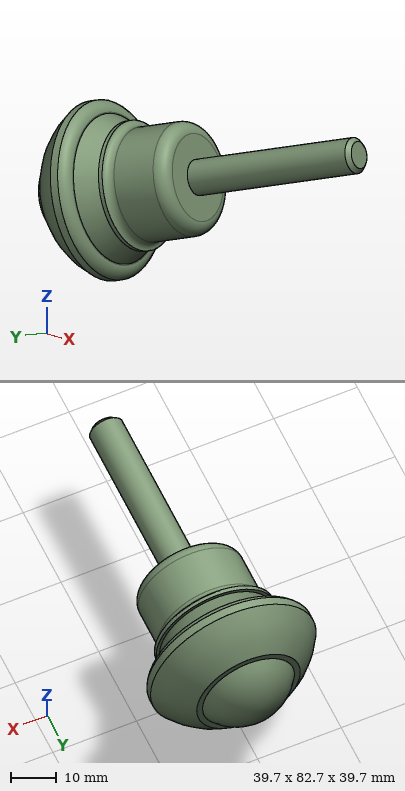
import cadquery as cq
import math


stud_radius = 4.0
stud_length = 43.0
stud_chamfer = 1.0

body_radius = 12.7
body_edge_fillet = 3.0
body_height = 13.45
collar_radius = 14.4
collar_bottom = 15.4
collar_top = 16.4

neck_bottom_radius = 13.6
neck_top_radius = 16.6
rim_underside = 21.5
rim_inner_radius = 16.85
rim_radius = 19.85
rim_band_bottom = 23.45
rim_band_top = 25.4

cap_top = 33.45
cap_top_radius = 12.4
dome_base_radius = 11.0
knob_height = 39.7


def axis_centre(lower_radius, lower_y, upper_radius, upper_y):
    """Y of the on-axis centre of the sphere through two circles of the profile."""
    power_difference = upper_radius**2 + upper_y**2 - lower_radius**2 - lower_y**2
    return power_difference / (2 * (upper_y - lower_y))


def sphere_point(centre_y, sphere_radius, radius):
    """Profile point at the given radius on the upper half of an on-axis sphere."""
    return radius, centre_y + math.sqrt(sphere_radius**2 - radius**2)


def make_stud():
    """Plain round stud with a chamfered tip."""
    return (
        cq.Workplane("XZ")
        .circle(stud_radius)
        .extrude(stud_length)
        .faces("<Y")
        .chamfer(stud_chamfer)
    )


def make_body():
    """Base cylinder, its concave sweep out to the collar, the collar and the neck."""
    return (
        cq.Workplane("XY")
        .lineTo(body_radius - body_edge_fillet, 0)
        .tangentArcPoint((body_radius, body_edge_fillet), relative=False)
        .lineTo(body_radius, body_height)
        .tangentArcPoint((collar_radius, collar_bottom), relative=False)
        .lineTo(collar_radius, collar_top)
        .lineTo(neck_bottom_radius, collar_top)
        .lineTo(neck_top_radius, rim_underside)
        .lineTo(0, rim_underside)
        .close()
        .revolve(360, (0, 0), (0, 1))
    )


def make_rim():
    """Lower part of the head: rounded underside and a straight band."""
    return (
        cq.Workplane("XY")
        .moveTo(0, rim_underside)
        .lineTo(rim_inner_radius, rim_underside)
        .tangentArcPoint((rim_radius, rim_band_bottom), relative=False)
        .lineTo(rim_radius, rim_band_top)
        .lineTo(0, rim_band_top)
        .close()
        .revolve(360, (0, 0), (0, 1))
    )


def make_cap():
    """Upper part of the head: spherical cap, small step and dome."""
    cap_centre = axis_centre(rim_radius, rim_band_top, cap_top_radius, cap_top)
    cap_sphere_radius = math.hypot(rim_radius, rim_band_top - cap_centre)
    cap_mid = sphere_point(cap_centre, cap_sphere_radius, (rim_radius + cap_top_radius) / 2)

    dome_centre = axis_centre(dome_base_radius, cap_top, 0, knob_height)
    dome_mid = sphere_point(dome_centre, knob_height - dome_centre, dome_base_radius / 2)

    return (
        cq.Workplane("XY")
        .moveTo(0, rim_band_top)
        .lineTo(rim_radius, rim_band_top)
        .threePointArc(cap_mid, (cap_top_radius, cap_top))
        .lineTo(dome_base_radius, cap_top)
        .threePointArc(dome_mid, (0, knob_height))
        .close()
        .revolve(360, (0, 0), (0, 1))
    )


result = make_stud().union(make_body()).union(make_rim()).union(make_cap())